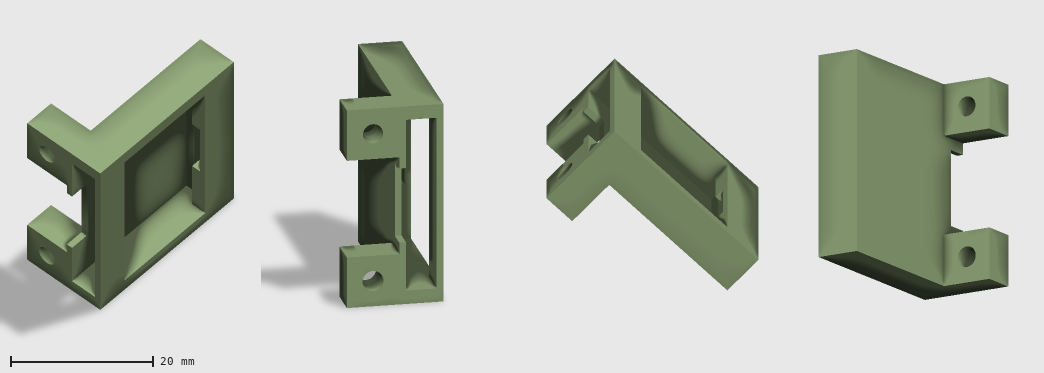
import cadquery as cq

width = 13.9
depth = 28.0
height = 29.4
body_left = 7.55

ear_height = 7.5
ear_depth = 5.0
lower_hole_diameter = 3.0
upper_hole_diameter = 2.88
hole_x = 3.75

side_wall = 0.97
end_wall = 2.0
cavity_left = body_left + side_wall
cavity_right = width - side_wall
cavity_depth = 26.0

ledge_width = 1.25
ledge_height = 2.0
block_width = 1.53
block_length = 8.2
block_height = 4.0

notch_length = 11.05
notch_depth = 3.1
window_front = 5.1


def box(x_range, y_range, z_range):
    """Axis-aligned box between the given limits."""
    x0, x1 = x_range
    y0, y1 = y_range
    z0, z1 = z_range
    return cq.Workplane("XY").box(x1 - x0, y1 - y0, z1 - z0, centered=False).translate((x0, y0, z0))


def drilled_ear(bottom, hole_diameter):
    """Mounting ear with a hole along Y, reaching into the body's left wall."""
    ear = box((0, cavity_left), (0, ear_depth), (bottom, bottom + ear_height))
    hole = (
        cq.Workplane("XZ")
        .center(hole_x, bottom + ear_height / 2)
        .circle(hole_diameter / 2)
        .extrude(-ear_depth)
    )
    return ear.cut(hole)


def stepped_cavity():
    """Front pocket whose floor carries a full-height ledge and two corner blocks."""
    z_limits = (end_wall, height - end_wall)
    cavity = box((cavity_left, cavity_right), (0, cavity_depth), z_limits)
    ledge = box(
        (cavity_left, cavity_left + ledge_width),
        (cavity_depth - ledge_height, cavity_depth),
        z_limits,
    )
    cavity = cavity.cut(ledge)
    for bottom in (end_wall, height - end_wall - block_length):
        block = box(
            (cavity_right - block_width, cavity_right),
            (cavity_depth - block_height, cavity_depth),
            (bottom, bottom + block_length),
        )
        cavity = cavity.cut(block)
    return cavity


body = box((body_left, width), (0, depth), (0, height))
body = body.union(drilled_ear(0, lower_hole_diameter))
body = body.union(drilled_ear(height - ear_height, upper_hole_diameter))

notch = box(
    (body_left, cavity_left),
    (0, notch_depth),
    ((height - notch_length) / 2, (height + notch_length) / 2),
)

window = box(
    (cavity_right, width),
    (window_front, cavity_depth - block_height),
    (end_wall, height - end_wall),
)

result = body.cut(stepped_cavity()).cut(notch).cut(window)